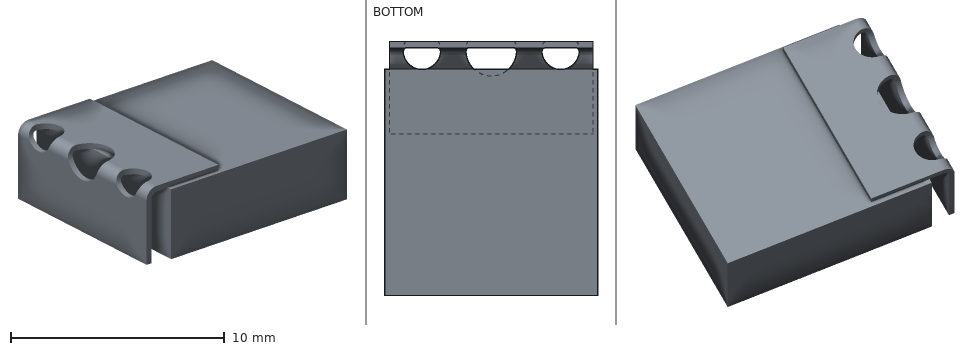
import cadquery as cq
import math

body_width = 10.0
body_length = 10.6
total_length = 11.9
total_height = 3.9

sheet_thickness = 0.3
cover_width = 9.53
cover_length = 4.33
bend_outer_radius = 0.6

side_hole_radius = 0.87
middle_hole_radius = 1.18
hole_pitch = 3.25
hole_center_past_bend_start = 0.15
bend_section_count = 9
cut_margin = 0.12

body_height = total_height - sheet_thickness
front_y = body_length - total_length
bend_inner_radius = bend_outer_radius - sheet_thickness
bend_neutral_radius = bend_outer_radius - sheet_thickness / 2
bend_y = front_y + bend_outer_radius
bend_z = total_height - bend_outer_radius
bend_arc_length = bend_neutral_radius * math.pi / 2


def make_body():
    """Plain block with its front face at Y = 0."""
    return cq.Workplane("XY").box(body_width, body_length, body_height, centered=(True, False, False))


def make_cover():
    """Sheet lying on the block, bent down in front of it to the level of the underside."""
    cover_back_y = front_y + cover_length
    profile = (
        cq.Workplane("YZ")
        .moveTo(cover_back_y, total_height)
        .lineTo(bend_y, total_height)
        .radiusArc((front_y, bend_z), -bend_outer_radius)
        .lineTo(front_y, 0)
        .lineTo(front_y + sheet_thickness, 0)
        .lineTo(front_y + sheet_thickness, bend_z)
        .radiusArc((bend_y, body_height), bend_inner_radius)
        .lineTo(cover_back_y, body_height)
        .close()
    )
    return profile.extrude(cover_width / 2, both=True)


def hole_half_width(radius, distance_past_bend_start):
    """Half the hole's width at a distance along the unfolded sheet."""
    offset = distance_past_bend_start - hole_center_past_bend_start
    return math.sqrt(radius**2 - offset**2)


def bend_section(x, radius, angle):
    """Rectangle across the sheet, on the radial plane turned by angle from the bend start."""
    half_width = hole_half_width(radius, bend_neutral_radius * angle)
    near = bend_inner_radius - cut_margin
    far = bend_outer_radius + cut_margin
    corners = []
    for side, distance in ((-1, near), (1, near), (1, far), (-1, far)):
        y = bend_y - distance * math.sin(angle)
        z = bend_z + distance * math.cos(angle)
        corners.append(cq.Vector(x + side * half_width, y, z))
    return cq.Wire.makePolygon(corners, close=True)


def make_hole_cutters(x, radius):
    """Cutters for one round hole that follows the sheet through the bend."""
    depth = sheet_thickness + 2 * cut_margin
    keep_size = 4 * radius
    keep_block = cq.Workplane("XY").box(keep_size, keep_size, keep_size)

    top_center_y = bend_y - hole_center_past_bend_start
    top_part = (
        cq.Workplane("XY", origin=(x, top_center_y, body_height - cut_margin))
        .circle(radius)
        .extrude(depth)
        .intersect(keep_block.translate((x, bend_y + keep_size / 2, total_height)))
    )

    front_center_z = bend_z + bend_arc_length - hole_center_past_bend_start
    front_part = (
        cq.Workplane("XZ", origin=(x, front_y + sheet_thickness + cut_margin, front_center_z))
        .circle(radius)
        .extrude(depth)
        .intersect(keep_block.translate((x, front_y, bend_z - keep_size / 2)))
    )

    angle_step = math.pi / 2 / (bend_section_count - 1)
    sections = [bend_section(x, radius, i * angle_step) for i in range(bend_section_count)]
    bend_part = cq.Workplane(obj=cq.Solid.makeLoft(sections))

    return [top_part, bend_part, front_part]


cover = make_cover()
for hole_x, hole_radius in (
    (-hole_pitch, side_hole_radius),
    (0, middle_hole_radius),
    (hole_pitch, side_hole_radius),
):
    for cutter in make_hole_cutters(hole_x, hole_radius):
        cover = cover.cut(cutter)

result = make_body().union(cover)